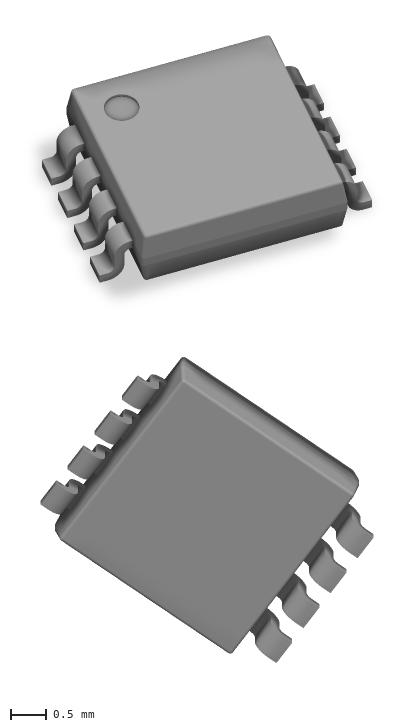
import cadquery as cq

body_side = 3.1
overall_length = 4.1
overall_height = 1.1
standoff = 0.148
draft_angle = 8.0
edge_radius = 0.05

leads_per_row = 4
lead_pitch = 0.65
lead_width = 0.38
lead_thickness = 0.15
inner_bend_radius = 0.095
foot_flat_length = 0.127
lead_embedment = 0.08

marker_diameter = 0.5
marker_depth = 0.05
marker_x = -0.905
marker_y = -0.947

body_mid_height = (standoff + overall_height) / 2
band_bottom = body_mid_height - lead_thickness / 2
band_top = body_mid_height + lead_thickness / 2
half_height = overall_height - band_top


def make_body():
    """Drafted body with all its corner, top and bottom edges rounded."""
    band = cq.Workplane("XY", origin=(0, 0, band_bottom)).rect(body_side, body_side).extrude(lead_thickness)
    upper = (
        cq.Workplane("XY", origin=(0, 0, band_top))
        .rect(body_side, body_side)
        .extrude(half_height, taper=draft_angle)
    )
    lower = upper.mirror("XY", (0, 0, body_mid_height))
    body = band.union(upper).union(lower)
    corner_edges = body.edges("not(|X or |Y)")
    rim_edges = body.faces("<Z or >Z").edges()
    return corner_edges.add(rim_edges).fillet(edge_radius)


def make_lead():
    """One S-bent lead on the -Y side, centred on X = 0."""
    outer_bend_radius = inner_bend_radius + lead_thickness
    tip_y = -overall_length / 2
    foot_end_y = tip_y + foot_flat_length
    outer_face_y = foot_end_y + inner_bend_radius
    inner_face_y = outer_face_y + lead_thickness
    shoulder_y = outer_face_y + outer_bend_radius
    root_y = -body_side / 2 + lead_embedment
    return (
        cq.Workplane("YZ", origin=(-lead_width / 2, 0, 0))
        .moveTo(tip_y, 0)
        .lineTo(foot_end_y, 0)
        .radiusArc((inner_face_y, outer_bend_radius), -outer_bend_radius)
        .lineTo(inner_face_y, band_bottom - inner_bend_radius)
        .radiusArc((shoulder_y, band_bottom), inner_bend_radius)
        .lineTo(root_y, band_bottom)
        .lineTo(root_y, band_top)
        .lineTo(shoulder_y, band_top)
        .radiusArc((outer_face_y, band_top - outer_bend_radius), -outer_bend_radius)
        .lineTo(outer_face_y, outer_bend_radius)
        .radiusArc((foot_end_y, lead_thickness), inner_bend_radius)
        .lineTo(tip_y, lead_thickness)
        .close()
        .extrude(lead_width)
    )


def make_marker_recess():
    """Cylinder to remove from the top face."""
    return (
        cq.Workplane("XY", origin=(marker_x, marker_y, overall_height))
        .circle(marker_diameter / 2)
        .extrude(-marker_depth)
    )


result = make_body().cut(make_marker_recess())
lead = make_lead()
for index in range(leads_per_row):
    lead_x = (index - (leads_per_row - 1) / 2) * lead_pitch
    front_lead = lead.translate((lead_x, 0, 0))
    result = result.union(front_lead).union(front_lead.mirror("XZ"))